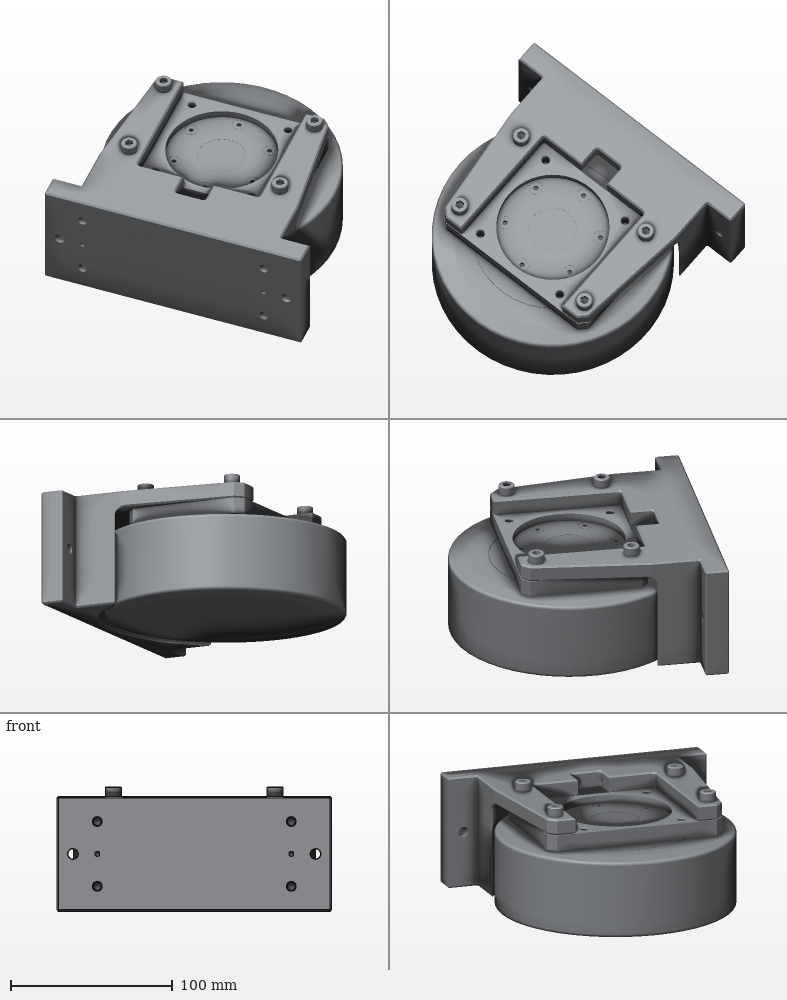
import cadquery as cq
import math


base_length = 170.0
base_thickness = 15.0
base_front_y = -85.0
base_rear_y = base_front_y + base_thickness
bracket_height = 71.0
block_half_width = 66.0
arm_thickness = 10.0
arm_underside_z = bracket_height - arm_thickness
taper_start_y = -40.0
arm_rear_y = 40.0
arm_end_half_width = 57.5
arm_corner = 5.0
edge_chamfer = 1.0
inner_corner_radius = 1.0

wheel_clearance_radius = 78.5
wheel_clearance_fillet = 5.0
arm_gap_half_width = 40.5
arm_gap_front_y = -40.5
notch_half_width = 10.0
notch_front_y = -55.0
gap_corner_radius = 2.0

wheel_radius = 75.0
wheel_height = 50.0
wheel_face_radius = 62.2
rim_edge_radius = 73.3
rim_edge_drop = 0.8
tread_drop = 2.9
rim_bulge = 0.3
groove_radius = 50.0
groove_width = 0.5
groove_depth = 0.5

plate_thickness = 10.0
plate_bottom_z = arm_underside_z - plate_thickness
hub_radius = 35.0
hub_depth = 5.0
hub_top_z = arm_underside_z - hub_depth
hub_center_radius = 15.3
seam_depth = 0.2

hub_screw_count = 6
hub_screw_circle = 30.0
hub_screw_radius = 4.0
hub_screw_recess_radius = 4.5
hub_screw_socket = 3.0
hub_screw_socket_depth = 2.0

arm_screw_x = 50.0
arm_screw_y = 30.0
screw_head_diameter = 10.0
screw_head_height = 6.0
screw_head_chamfer = 0.5
socket_flats = 5.0
socket_depth = 3.0

tap_diameter = 5.0
tap_mouth_diameter = 6.0
tap_depth = 15.0
plate_tap_offset = 31.8
base_hole_x = 60.0
base_tap_spacing = 40.1
dowel_diameter = 3.0
dowel_depth = 10.0
base_bolt_x = 75.0
base_bolt_diameter = 6.5
base_hole_z = bracket_height / 2


def mirrored(half):
    """Complete an outline given as its +X points, ordered front to rear."""
    return half + [(-x, y) for x, y in reversed(half)]


def at_four(x, y):
    return [(i * x, j * y) for i in (1, -1) for j in (1, -1)]


def prism(points, bottom, top):
    return cq.Workplane("XY").workplane(offset=bottom).polyline(points).close().extrude(top - bottom)


def disc(radius, bottom, top):
    return cq.Workplane("XY").workplane(offset=bottom).circle(radius).extrude(top - bottom)


def pointed_hole(diameter, depth, mouth_diameter=0.0):
    """Cutter for a blind hole that enters at the origin and runs along +Z to a conical point."""
    radius = diameter / 2
    outline = [(0, 0), (radius, 0), (radius, depth), (0, depth + radius / 2)]
    if mouth_diameter > diameter:
        mouth_radius = mouth_diameter / 2
        outline[1:2] = [(mouth_radius, 0), (radius, mouth_radius - radius)]
    return cq.Workplane("XZ").polyline(outline).close().revolve(360, (0, 0, 0), (0, 1, 0))


def clearance_outer_edges(side, front_y, rear_y):
    """Edges where the wheel clearance meets the outer faces, on one side and between two Y positions."""
    near = (side * (arm_gap_half_width + edge_chamfer), front_y, 2 * edge_chamfer)
    far = (side * base_length / 2, rear_y, arm_underside_z + edge_chamfer)
    return cq.selectors.BoxSelector(near, far)


def make_bracket():
    outline = mirrored([
        (base_length / 2, base_front_y),
        (base_length / 2, base_rear_y),
        (block_half_width, base_rear_y),
        (block_half_width, taper_start_y),
        (arm_end_half_width, arm_rear_y - arm_corner),
        (arm_end_half_width - arm_corner, arm_rear_y),
    ])
    body = prism(outline, 0, bracket_height)
    for side in (1, -1):
        corner = cq.selectors.NearestToPointSelector(
            (side * block_half_width, base_rear_y, bracket_height / 2))
        body = body.edges(corner).fillet(inner_corner_radius)

    gap = mirrored([
        (notch_half_width, notch_front_y),
        (notch_half_width, arm_gap_front_y),
        (arm_gap_half_width, arm_gap_front_y),
        (arm_gap_half_width, arm_rear_y),
    ])
    gap_cut = prism(gap, plate_bottom_z, bracket_height)
    for x, y in ((notch_half_width, notch_front_y), (arm_gap_half_width, arm_gap_front_y)):
        for side in (1, -1):
            corner = cq.selectors.NearestToPointSelector((side * x, y, (plate_bottom_z + bracket_height) / 2))
            gap_cut = gap_cut.edges(corner).fillet(gap_corner_radius)
    body = body.cut(gap_cut)
    body = body.faces(">Z").edges().chamfer(edge_chamfer)
    body = body.faces("<Z").edges().chamfer(edge_chamfer)
    body = body.faces("<Y").edges("|Z").chamfer(edge_chamfer)

    clearance = disc(wheel_clearance_radius, 0, arm_underside_z)
    clearance = clearance.faces(">Z").edges().fillet(wheel_clearance_fillet)
    body = body.cut(clearance)
    arm_span = (taper_start_y, arm_rear_y + edge_chamfer)
    block_span = (base_rear_y, taper_start_y - edge_chamfer)
    for side in (1, -1):
        for front_y, rear_y in (arm_span, block_span):
            body = body.edges(clearance_outer_edges(side, front_y, rear_y)).chamfer(edge_chamfer)
    return body


def make_wheel():
    rim_edge_z = wheel_height - rim_edge_drop
    tread_top_z = wheel_height - tread_drop
    rim_mid_radius = (rim_edge_radius + wheel_radius) / 2 + rim_bulge
    rim_mid_z = (rim_edge_z + tread_top_z) / 2 + rim_bulge
    wheel = (
        cq.Workplane("XZ")
        .lineTo(wheel_face_radius, 0)
        .lineTo(rim_edge_radius, rim_edge_drop)
        .threePointArc((rim_mid_radius, wheel_height - rim_mid_z), (wheel_radius, tread_drop))
        .lineTo(wheel_radius, tread_top_z)
        .threePointArc((rim_mid_radius, rim_mid_z), (rim_edge_radius, rim_edge_z))
        .lineTo(wheel_face_radius, wheel_height)
        .lineTo(0, wheel_height)
        .close()
        .revolve(360, (0, 0, 0), (0, 1, 0))
    )
    groove = disc(groove_radius, wheel_height - groove_depth, wheel_height)
    return wheel.cut(groove.cut(disc(groove_radius - groove_width, 0, wheel_height)))


def make_plate():
    plate = (
        cq.Workplane("XY").workplane(offset=plate_bottom_z)
        .rect(2 * arm_end_half_width, 2 * arm_rear_y)
        .extrude(plate_thickness)
        .edges("|Z").chamfer(arm_corner)
    )
    plate = (
        plate.faces(">Z").workplane(origin=(0, 0, arm_underside_z))
        .pushPoints(at_four(plate_tap_offset, plate_tap_offset))
        .cskHole(tap_diameter, tap_mouth_diameter, 90)
    )
    return plate.cut(disc(hub_radius, plate_bottom_z, arm_underside_z))


def make_hub():
    hub = disc(hub_radius, wheel_height, hub_top_z)
    hub = hub.cut(disc(hub_center_radius, hub_top_z - seam_depth, hub_top_z))
    top = cq.Workplane("XY").workplane(offset=hub_top_z).polarArray(hub_screw_circle, 90, 360, hub_screw_count)
    seams = top.circle(hub_screw_recess_radius).circle(hub_screw_radius).extrude(-seam_depth)
    sockets = top.circle(hub_screw_socket / 2).extrude(-hub_screw_socket_depth)
    return hub.cut(seams).cut(sockets)


def make_arm_screw():
    head = cq.Workplane("XY").circle(screw_head_diameter / 2).extrude(screw_head_height)
    head = head.faces(">Z").edges().chamfer(screw_head_chamfer)
    socket_corners = socket_flats / math.cos(math.pi / 6)
    socket = (
        cq.Workplane("XY").workplane(offset=screw_head_height)
        .polygon(6, socket_corners).extrude(-socket_depth)
    )
    drill_point = pointed_hole(socket_flats, socket_depth)
    drill_point = drill_point.rotate((0, 0, 0), (1, 0, 0), 180).translate((0, 0, screw_head_height))
    return head.cut(socket).cut(drill_point)


def cut_base_holes(body):
    tap = pointed_hole(tap_diameter, tap_depth, tap_mouth_diameter)
    dowel = pointed_hole(dowel_diameter, dowel_depth)
    bolt = cq.Workplane("XY").circle(base_bolt_diameter / 2).extrude(base_thickness)
    holes = [(dowel, base_hole_x, 0), (bolt, base_bolt_x, 0)]
    holes += [(tap, base_hole_x, step * base_tap_spacing / 2) for step in (1, -1)]
    for cutter, x, rise in holes:
        facing_rear = cutter.rotate((0, 0, 0), (1, 0, 0), -90)
        for side in (1, -1):
            body = body.cut(facing_rear.translate((side * x, base_front_y, base_hole_z + rise)))
    return body


result = cut_base_holes(make_bracket()).union(make_plate()).union(make_hub()).union(make_wheel())
for x, y in at_four(arm_screw_x, arm_screw_y):
    result = result.union(make_arm_screw().translate((x, y, bracket_height)))